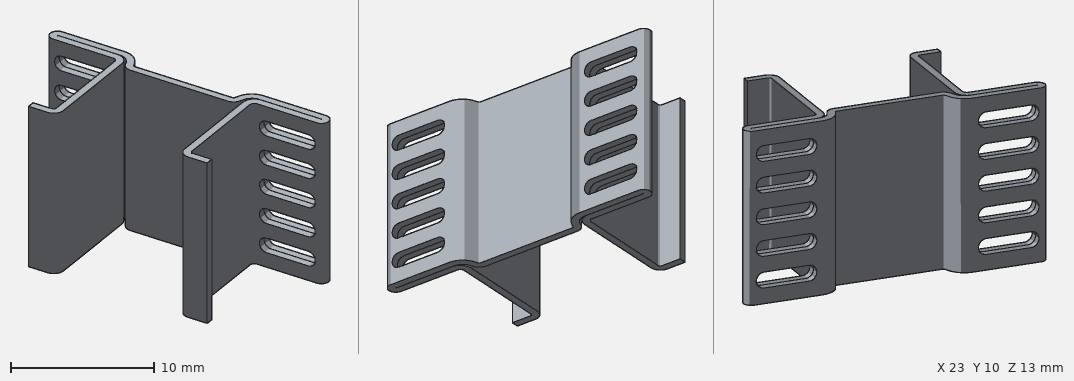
import cadquery as cq
import math

width = 23.0
depth = 10.0
height = 13.0

sheet = 0.6
seam_gap = 0.005
tight_bend_inner = 0.2
leg_bend_inner = 0.35
step_bend_inner = leg_bend_inner + sheet
step_angle = 68.0

bridge_flat = 8.0
bridge_drop = 1.38
leg_spacing = 10.0
lip_tip_x = 7.38

slot_count = 5
slot_pitch = 2 * height / (2 * slot_count + 1)
slot_width = slot_pitch / 2
slot_outer_x = 10.76
slot_inner_x = 6.16

tight_bend = tight_bend_inner + sheet / 2
leg_bend = leg_bend_inner + sheet / 2
step_bend = step_bend_inner + sheet / 2
fold_bend = (sheet + seam_gap) / 2

slope = math.radians(step_angle)
bend_sum = tight_bend + step_bend
step_flat = (bridge_drop - bend_sum * (1 - math.cos(slope))) / math.sin(slope)
step_run = bend_sum * math.sin(slope) + step_flat * math.cos(slope)
fold_x = width / 2 - fold_bend - sheet / 2
leg_x = (leg_spacing + sheet) / 2
upper_layer_flat = fold_x - bridge_flat / 2 - step_run
lower_layer_flat = fold_x - leg_x - leg_bend
leg_flat = depth - sheet - 2 * fold_bend - leg_bend - tight_bend
lip_flat = lip_tip_x - leg_x - tight_bend

half_section = [
    (bridge_flat / 2, tight_bend, -step_angle),
    (step_flat, step_bend, step_angle),
    (upper_layer_flat, fold_bend, 180.0),
    (lower_layer_flat, leg_bend, -90.0),
    (leg_flat, tight_bend, -90.0),
]


def trace_half_section(start_y):
    """Path of the sheet's middle plane from the centre out to the left lip's tip."""
    x, y, heading = 0.0, start_y, math.pi
    path = cq.Workplane("XY").moveTo(x, y)
    for straight, radius, angle in half_section:
        x += straight * math.cos(heading)
        y += straight * math.sin(heading)
        path = path.lineTo(x, y)
        side = math.copysign(radius, angle)
        turn = math.radians(angle)
        centre_x = x - side * math.sin(heading)
        centre_y = y + side * math.cos(heading)
        points = []
        for bearing in (heading + turn / 2, heading + turn):
            points.append((centre_x + side * math.sin(bearing), centre_y - side * math.cos(bearing)))
        path = path.threePointArc(*points)
        x, y = points[-1]
        heading += turn
    return path.lineTo(x + lip_flat * math.cos(heading), y + lip_flat * math.sin(heading))


def make_half_strip():
    """Left half of the bent sheet."""
    start_y = depth / 2 - sheet / 2 - bridge_drop
    profile = cq.Workplane("YZ").center(start_y, 0).rect(sheet, height)
    return profile.sweep(trace_half_section(start_y))


def make_slots():
    """Round-ended cutters through both layers of the two flanges."""
    flange_depth = 2 * sheet + seam_gap
    slot_x = (slot_outer_x + slot_inner_x) / 2
    centres = []
    for index in range(slot_count):
        z = (index - (slot_count - 1) / 2) * slot_pitch
        centres += [(-slot_x, z), (slot_x, z)]
    return (
        cq.Workplane("XZ", origin=(0, depth / 2, 0))
        .pushPoints(centres)
        .slot2D(slot_outer_x - slot_inner_x, slot_width)
        .extrude(flange_depth)
    )


half_strip = make_half_strip()
bracket = half_strip.union(half_strip.mirror("YZ"))
result = bracket.cut(make_slots())